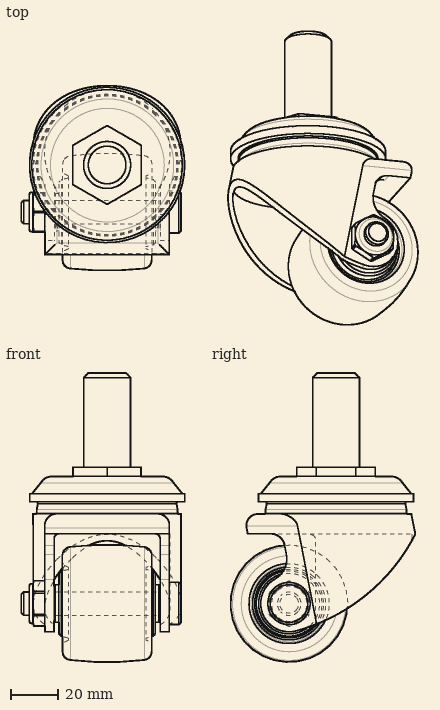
import cadquery as cq
import math


wheel_radius = 25.0
wheel_half_width = 19.0
tread_edge_radius = 23.65
tread_fillet = 3.7
groove_outer_radius = 17.0
groove_step_radius = 16.2
groove_step_depth = 1.0
groove_floor_outer_radius = 15.5
groove_floor_inner_radius = 14.6
groove_depth = 2.5
seal_radius = 13.9
seal_rim_chamfer = 1.0
seal_half_width = 20.5
collar_radius = 8.0
collar_chamfer = 0.5

axle_y = -20.0
axle_z = wheel_radius
axle_radius = 5.0
axle_tip_chamfer = 1.0
axle_tip_x = -36.5
head_radius = 9.0
head_height = 5.0
head_chamfer = 1.0
nut_across_flats = 17.0
nut_corner_radius = 9.6
nut_height = 5.0
nut_corner_chamfer = 0.4
nut_ring_height = 1.6
nut_ring_fillet = 1.2

fork_top_z = 63.1
fork_tilt = 11.0
fork_half_width = 26.5
arm_thickness = 4.0
shell_radius = 31.5
lip_front = 38.5
lip_fillet = 5.0
lip_underside_z = 54.6
pocket_radius = 26.7
pocket_center_y = 5.5
pocket_fillet = 2.0
neck_front = 24.0
neck_top_radius = 6.0
neck_bottom_radius = 10.0
arm_end_radius = 12.0
belly_radius = 80.5
belly_lean = 15.2

race_bottom_radius = 30.2
race_radius = 30.0
race_neck_radius = 29.5
race_top_radius = 29.8
race_foot_z = 63.8
race_taper_z = 65.0
race_neck_z = 67.5
flange_radius = 33.0
flange_bottom_z = 68.2
flange_top_z = 71.7
cap_base_radius = 32.0
cap_shoulder_radius = 28.2
cap_shoulder_z = 76.4
cap_top_radius = 24.2
cap_round_radius = 5.5
cap_top_z = 79.0
hex_across_flats = 29.0
hex_height = 4.0
stem_radius = 10.0
stem_chamfer = 2.0
stem_length = 40.0

arm_inner_x = fork_half_width - arm_thickness
hex_top_z = cap_top_z + hex_height
reach = 150.0
tilt = math.radians(fork_tilt)
tilted_plane = cq.Plane(
    origin=(0, 0, fork_top_z),
    xDir=(1, 0, 0),
    normal=(0, -math.sin(tilt), math.cos(tilt)),
)
axle_plane = cq.Plane(origin=(0, axle_y, axle_z), xDir=(0, 0, 1), normal=(0, 1, 0))
axle_side_plane = cq.Plane(origin=(0, axle_y, axle_z), xDir=(0, 1, 0), normal=(1, 0, 0))


def hexagon_diameter(across_flats):
    return across_flats / math.cos(math.pi / 6)


def tilted_to_side(y, w):
    """(Y, Z) of a point y along the tilted plane and w along the tilted wall direction."""
    point = tilted_plane.toWorldCoords((0, y, w))
    return point.y, point.z


def side_to_tilted(y, z):
    """Inverse of tilted_to_side."""
    point = tilted_plane.toLocalCoords(cq.Vector(0, y, z))
    return point.y, point.z


def polar(center, radius, angle):
    """Point on a circle in the side plane, angle in radians from +Y towards +Z."""
    return center[0] + radius * math.cos(angle), center[1] + radius * math.sin(angle)


def mean(a, b):
    return (a + b) / 2


def cylinder_along_x(radius, x_start, x_end):
    """Cylinder around the axle line."""
    return (
        cq.Workplane(axle_side_plane)
        .workplane(offset=x_start)
        .circle(radius)
        .extrude(x_end - x_start)
    )


def block_between(z_low, z_high):
    return cq.Workplane("XY", origin=(0, 0, z_low)).rect(2 * reach, 2 * reach).extrude(z_high - z_low)


def wheel_side_steps():
    """(radius, x) steps of the collar, bearing disc and ring groove on the -X side of the wheel."""
    return [
        (axle_radius, -arm_inner_x),
        (collar_radius - collar_chamfer, -arm_inner_x),
        (collar_radius, -arm_inner_x + collar_chamfer),
        (collar_radius, -seal_half_width),
        (seal_radius - seal_rim_chamfer, -seal_half_width),
        (seal_radius, -seal_half_width + seal_rim_chamfer),
        (groove_floor_inner_radius, -wheel_half_width + groove_depth),
        (groove_floor_outer_radius, -wheel_half_width + groove_depth),
        (groove_step_radius, -wheel_half_width + groove_step_depth),
        (groove_outer_radius, -wheel_half_width),
        (tread_edge_radius, -wheel_half_width),
    ]


def make_wheel():
    left_side = wheel_side_steps()
    right_side = [(radius, -x) for radius, x in reversed(left_side)]
    outline = (
        cq.Workplane(axle_plane)
        .polyline(left_side)
        .threePointArc((wheel_radius, 0), right_side[0])
    )
    for point in right_side[1:]:
        outline = outline.lineTo(*point)
    wheel = outline.close().revolve(360, (0, 0, 0), (0, 1, 0))
    tread_rims = wheel.edges("%CIRCLE").filter(lambda edge: math.isclose(edge.radius(), tread_edge_radius))
    return tread_rims.fillet(tread_fillet)


def make_fork_walls():
    """Flat-sided front with a rounded lip, joined to the round rear wall; both lean by the tilt."""
    below_top = block_between(-reach, fork_top_z)
    front = (
        cq.Workplane(tilted_plane)
        .center(0, -lip_front / 2)
        .rect(2 * fork_half_width, lip_front)
        .extrude(reach, both=True)
        .intersect(below_top)
    )
    front = front.faces(">Z").edges("not >Y").fillet(lip_fillet)
    arm_ends = cylinder_along_x(arm_end_radius, -fork_half_width, fork_half_width)
    rear = cq.Workplane(tilted_plane).circle(shell_radius).extrude(reach, both=True).intersect(below_top)
    return front.union(arm_ends).union(rear)


def make_fork_silhouette():
    """Side outline of the fork: lip underside, arm neck, rounded arm end and the long belly arc."""
    axle = (axle_y, axle_z)

    neck_top_z = lip_underside_z - neck_top_radius
    neck_top_y = -(neck_front + neck_top_radius + (neck_top_z - fork_top_z) * math.sin(tilt)) / math.cos(tilt)
    neck_top = (neck_top_y, neck_top_z)

    axle_local_y, axle_local_w = side_to_tilted(*axle)
    bottom_local_y = -neck_front - neck_bottom_radius
    rise = math.sqrt((arm_end_radius + neck_bottom_radius) ** 2 - (bottom_local_y - axle_local_y) ** 2)
    neck_bottom = tilted_to_side(bottom_local_y, axle_local_w + rise)
    arm_start = math.atan2(neck_bottom[1] - axle[1], neck_bottom[0] - axle[0])

    belly_angle = math.radians(90 + belly_lean)
    belly = polar(axle, belly_radius - arm_end_radius, belly_angle)
    belly_start = belly_angle + math.pi
    belly_end = math.asin((fork_top_z - belly[1]) / belly_radius) + 2 * math.pi

    return (
        cq.Workplane("YZ")
        .moveTo(*polar(belly, belly_radius, belly_end))
        .lineTo(-reach, fork_top_z)
        .lineTo(-reach, lip_underside_z)
        .lineTo(neck_top[0], lip_underside_z)
        .threePointArc(
            polar(neck_top, neck_top_radius, mean(math.pi / 2, tilt)),
            polar(neck_top, neck_top_radius, tilt),
        )
        .lineTo(*polar(neck_bottom, neck_bottom_radius, tilt))
        .threePointArc(
            polar(neck_bottom, neck_bottom_radius, mean(tilt, arm_start - math.pi)),
            polar(neck_bottom, neck_bottom_radius, arm_start - math.pi),
        )
        .threePointArc(
            polar(axle, arm_end_radius, mean(arm_start, belly_start)),
            polar(axle, arm_end_radius, belly_start),
        )
        .threePointArc(
            polar(belly, belly_radius, mean(belly_start, belly_end)),
            polar(belly, belly_radius, belly_end),
        )
        .close()
        .extrude(reach, both=True)
    )


def make_wheel_pocket():
    """Slot between the arms, open at the front and bottom, that widens into a round rear."""
    slot = (
        cq.Workplane("XY", origin=(0, 0, lip_underside_z))
        .center(0, pocket_center_y - reach / 2)
        .rect(2 * arm_inner_x, reach)
        .extrude(-reach)
    )
    slot = slot.faces(">Z").edges("|Y").fillet(pocket_fillet)
    rear = (
        cq.Workplane("XY", origin=(0, pocket_center_y, lip_underside_z))
        .circle(pocket_radius)
        .extrude(-reach)
    )
    return slot.union(rear)


def make_fork():
    return make_fork_walls().intersect(make_fork_silhouette()).cut(make_wheel_pocket())


def make_swivel_head():
    outline = (
        cq.Workplane("XZ")
        .moveTo(0, fork_top_z)
        .lineTo(race_bottom_radius, fork_top_z)
        .lineTo(race_radius, race_foot_z)
        .lineTo(race_radius, race_taper_z)
        .lineTo(race_neck_radius, race_neck_z)
        .lineTo(race_top_radius, flange_bottom_z)
        .lineTo(flange_radius, flange_bottom_z)
        .lineTo(flange_radius, flange_top_z)
        .lineTo(cap_base_radius, flange_top_z)
        .lineTo(cap_shoulder_radius, cap_shoulder_z)
        .radiusArc((cap_top_radius, cap_top_z), -cap_round_radius)
        .lineTo(0, cap_top_z)
        .close()
    )
    return outline.revolve(360, (0, 0, 0), (0, 1, 0))


def make_stem():
    hexagon = (
        cq.Workplane("XY", origin=(0, 0, cap_top_z))
        .polygon(6, hexagon_diameter(hex_across_flats))
        .extrude(hex_height)
        .rotate((0, 0, 0), (0, 0, 1), 90)
    )
    rod = (
        cq.Workplane("XY", origin=(0, 0, hex_top_z))
        .circle(stem_radius)
        .extrude(stem_length)
        .faces(">Z")
        .chamfer(stem_chamfer)
    )
    return hexagon.union(rod)


def make_bolt():
    axle = cylinder_along_x(axle_radius, axle_tip_x, fork_half_width)
    axle = axle.faces("<X").chamfer(axle_tip_chamfer)
    head = cylinder_along_x(head_radius, fork_half_width, fork_half_width + head_height)
    return axle.union(head.faces(">X").chamfer(head_chamfer))


def make_nut():
    ring_radius = nut_across_flats / 2
    nut_end_x = -fork_half_width - nut_height
    hexagon = (
        cq.Workplane(axle_side_plane)
        .workplane(offset=nut_end_x)
        .transformed(rotate=(0, 0, 90))
        .polygon(6, hexagon_diameter(nut_across_flats))
        .extrude(nut_height)
    )
    corner_trim = (
        cylinder_along_x(nut_corner_radius, nut_end_x, -fork_half_width)
        .faces("<X")
        .chamfer(nut_corner_chamfer, nut_corner_radius - ring_radius)
    )
    ring = cylinder_along_x(ring_radius, nut_end_x - nut_ring_height, nut_end_x)
    ring = ring.faces("<X").edges().fillet(nut_ring_fillet)
    return hexagon.intersect(corner_trim).union(ring)


def make_frame():
    frame = make_fork()
    for piece in (make_swivel_head(), make_stem(), make_bolt(), make_nut()):
        frame = frame.union(piece)
    return frame


frame = make_frame()
wheel = make_wheel()

result = cq.Compound.makeCompound([frame.val(), wheel.val()])